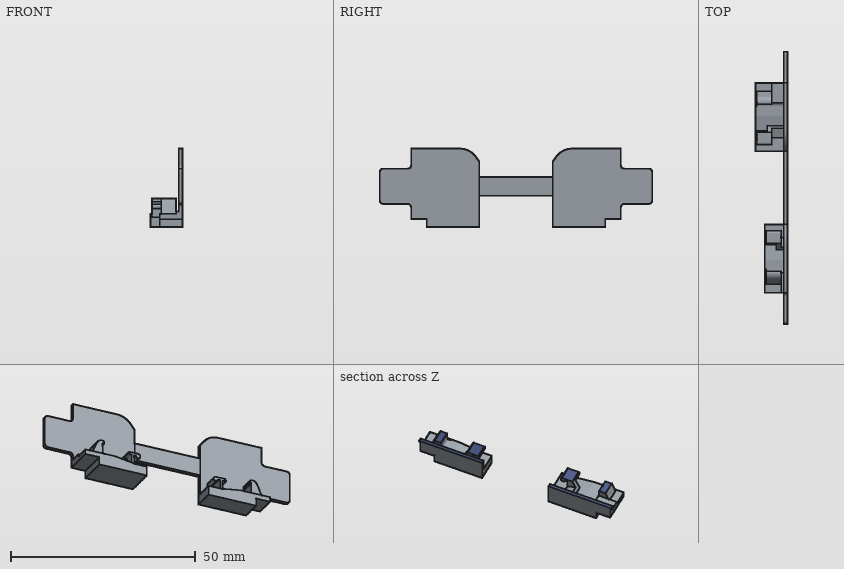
import cadquery as cq
import math

total_length = 73.8
total_height = 21.3
plate_thickness = 1.1

plate_inner_y = 9.9
plate_outer_y = 28.4
tab_end_y = total_length / 2
tab_bottom_z = 6.3
tab_top_z = 15.9
tab_radius = 0.95
shoulder_radius = 5.45
shoulder_start_y = 15.3
shoulder_end_y = 10.85
root_notch_y = 24.2
root_notch_z = 2.2

long_foot_depth = 8.8
short_foot_depth = 6.3
foot_low_z = 2.7
foot_high_z = 3.6
slope_inner_y = 13.6
slope_outer_y = 19.5

clip_inset = 0.45
clip_width = 4.05

hook_root_y = 26.1
hook_top_z = 7.8
hook_back_angle = 68.5
hook_crown_radius = 1.6
hook_crown_y = 23.25
hook_face_y = 23.0
hook_root_fillet = 0.95
lip_tip_y = 22.6
lip_radius = 0.45
lip_bottom_z = 6.95
hook_ledge_z = 4.3

stem_inner_y = slope_inner_y
stem_thickness = 0.7
stem_outer_y = stem_inner_y + stem_thickness
cap_top_z = 6.3
cap_nose_y = 11.65
cap_nose_radius = 0.7
cap_bottom_z = cap_top_z - cap_nose_radius
cap_outer_y = 15.05
gusset_root_y = 16.75
gusset_width = 1.3
stem_fillet = 0.3
post_ledge_outer_z = 4.35
post_ledge_inner_z = 3.55

strip_bottom_z = 8.5
strip_top_z = 13.65

embed = 0.4


def prism(outline, x_start, x_end):
    """Extrude a closed Y-Z outline between two X positions."""
    return outline.extrude(x_end - x_start).translate((x_start, 0, 0))


def outline_from(points):
    return cq.Workplane("YZ").polyline(points).close()


def foot_top_z(y):
    """Height of the foot's upper surface at a given Y."""
    part = (y - slope_inner_y) / (slope_outer_y - slope_inner_y)
    part = min(max(part, 0.0), 1.0)
    return foot_low_z + part * (foot_high_z - foot_low_z)


def upright_plate():
    shoulder_center_z = total_height - shoulder_radius
    shoulder_angle = math.asin((shoulder_start_y - shoulder_end_y) / shoulder_radius)

    def shoulder_point(turn):
        return (
            shoulder_start_y - shoulder_radius * math.sin(turn),
            shoulder_center_z + shoulder_radius * math.cos(turn),
        )

    bevel_drop = (shoulder_end_y - plate_inner_y) * math.tan(shoulder_angle)
    bevel_bottom_z = shoulder_point(shoulder_angle)[1] - bevel_drop
    outline = (
        cq.Workplane("YZ")
        .moveTo(plate_inner_y, 0)
        .lineTo(root_notch_y, 0)
        .lineTo(root_notch_y, root_notch_z)
        .lineTo(plate_outer_y, root_notch_z)
        .lineTo(plate_outer_y, total_height)
        .lineTo(shoulder_start_y, total_height)
        .threePointArc(shoulder_point(shoulder_angle / 2), shoulder_point(shoulder_angle))
        .lineTo(plate_inner_y, bevel_bottom_z)
        .close()
    )
    tab = outline_from([
        (plate_inner_y + tab_radius, tab_bottom_z),
        (tab_end_y, tab_bottom_z),
        (tab_end_y, tab_top_z),
        (plate_inner_y + tab_radius, tab_top_z),
    ])
    plate = prism(outline, -plate_thickness, 0).union(prism(tab, -plate_thickness, 0))
    tab_ends = cq.selectors.BoxSelector(
        (-plate_thickness, plate_outer_y - tab_radius, tab_bottom_z - tab_radius),
        (0, tab_end_y + tab_radius, tab_top_z + tab_radius),
    )
    return plate.edges("|X").edges(tab_ends).fillet(tab_radius)


def foot(depth):
    outline = outline_from([
        (plate_inner_y, 0),
        (root_notch_y, 0),
        (root_notch_y, root_notch_z),
        (plate_outer_y, root_notch_z),
        (plate_outer_y, foot_high_z),
        (slope_outer_y, foot_high_z),
        (slope_inner_y, foot_low_z),
        (plate_inner_y, foot_low_z),
    ])
    return prism(outline, -depth, 0)


def hook_outline():
    angle = math.radians(hook_back_angle)
    crown_center_z = hook_top_z - hook_crown_radius

    def crown_point(turn):
        return (
            hook_crown_y + hook_crown_radius * math.sin(turn),
            crown_center_z + hook_crown_radius * math.cos(turn),
        )

    lip_center_y = lip_tip_y + lip_radius
    lip_center_z = hook_top_z - lip_radius
    lip_diagonal = lip_radius * math.sqrt(0.5)
    fillet_center_y = hook_face_y - hook_root_fillet
    fillet_center_z = foot_high_z + hook_root_fillet
    fillet_diagonal = hook_root_fillet * math.sqrt(0.5)
    return (
        cq.Workplane("YZ")
        .moveTo(hook_root_y, foot_high_z - embed)
        .lineTo(hook_root_y, foot_high_z)
        .lineTo(*crown_point(angle))
        .threePointArc(crown_point(angle / 2), crown_point(0))
        .lineTo(lip_center_y, hook_top_z)
        .threePointArc(
            (lip_center_y - lip_diagonal, lip_center_z + lip_diagonal),
            (lip_tip_y, lip_center_z),
        )
        .lineTo(lip_tip_y, lip_bottom_z)
        .lineTo(hook_face_y, lip_bottom_z)
        .lineTo(hook_face_y, fillet_center_z)
        .threePointArc(
            (fillet_center_y + fillet_diagonal, fillet_center_z - fillet_diagonal),
            (fillet_center_y, foot_high_z),
        )
        .lineTo(fillet_center_y, foot_high_z - embed)
        .close()
    )


def hook(x_front, x_back):
    """Hook, with a low ledge running from it back to the plate."""
    ledge_limits = outline_from([
        (plate_inner_y, 0),
        (plate_outer_y, 0),
        (plate_outer_y, hook_ledge_z),
        (plate_inner_y, hook_ledge_z),
    ])
    ledge_inner_part = prism(hook_outline(), x_back, 0).intersect(prism(ledge_limits, x_back, 0))
    ledge_outer_part = outline_from([
        (hook_face_y, foot_high_z - embed),
        (plate_outer_y, foot_high_z - embed),
        (plate_outer_y, hook_ledge_z),
        (hook_face_y, hook_ledge_z),
    ])
    return (
        prism(hook_outline(), x_front, x_back)
        .union(ledge_inner_part)
        .union(prism(ledge_outer_part, x_back, 0))
    )


def flank_y(z):
    """Y of the gusset's sloping flank at a given height."""
    root_z = foot_top_z(gusset_root_y)
    part = (z - root_z) / (cap_top_z - root_z)
    return gusset_root_y + part * (cap_outer_y - gusset_root_y)


def stem_and_cap(x_front, x_back):
    nose_center_y = cap_nose_y + cap_nose_radius
    nose_center_z = cap_top_z - cap_nose_radius
    nose_diagonal = cap_nose_radius * math.sqrt(0.5)
    root_y = stem_outer_y + stem_fillet
    root_z = foot_top_z(root_y)
    corner = stem_fillet * (1 - math.sqrt(0.5))
    outline = (
        cq.Workplane("YZ")
        .moveTo(stem_inner_y, foot_low_z - embed)
        .lineTo(root_y, foot_low_z - embed)
        .lineTo(root_y, root_z)
        .threePointArc((stem_outer_y + corner, root_z + corner), (stem_outer_y, root_z + stem_fillet))
        .lineTo(stem_outer_y, cap_bottom_z - stem_fillet)
        .threePointArc(
            (stem_outer_y + corner, cap_bottom_z - corner),
            (stem_outer_y + stem_fillet, cap_bottom_z),
        )
        .lineTo(flank_y(cap_bottom_z), cap_bottom_z)
        .lineTo(cap_outer_y, cap_top_z)
        .lineTo(nose_center_y, cap_top_z)
        .threePointArc(
            (nose_center_y - nose_diagonal, nose_center_z + nose_diagonal),
            (cap_nose_y, nose_center_z),
        )
        .threePointArc(
            (nose_center_y, nose_center_z - cap_nose_radius),
            (nose_center_y + cap_nose_radius, nose_center_z),
        )
        .lineTo(stem_inner_y - stem_fillet, cap_bottom_z)
        .threePointArc(
            (stem_inner_y - corner, cap_bottom_z - corner),
            (stem_inner_y, cap_bottom_z - stem_fillet),
        )
        .close()
    )
    return prism(outline, x_front, x_back)


def gusset(x_back):
    gusset_root_z = foot_top_z(gusset_root_y)
    outline = outline_from([
        (stem_inner_y, foot_low_z - embed),
        (gusset_root_y, foot_low_z - embed),
        (gusset_root_y, gusset_root_z),
        (cap_outer_y, cap_top_z),
        (stem_inner_y, cap_top_z),
    ])
    return prism(outline, x_back - gusset_width, x_back)


def post_ledge(x_back):
    """Low ramp that carries the gusset's foot back to the plate."""
    outline = outline_from([
        (stem_inner_y, foot_low_z - embed),
        (gusset_root_y, foot_low_z - embed),
        (gusset_root_y, foot_top_z(gusset_root_y)),
        (flank_y(post_ledge_outer_z), post_ledge_outer_z),
        (stem_inner_y, post_ledge_inner_z),
    ])
    return prism(outline, x_back, 0)


def end_bracket(foot_depth):
    """Bracket at the +Y end, with the given foot depth along X."""
    clip_front = -foot_depth + clip_inset
    clip_back = clip_front + clip_width
    return (
        upright_plate()
        .union(foot(foot_depth))
        .union(hook(clip_front, clip_back))
        .union(stem_and_cap(clip_front, clip_back))
        .union(gusset(clip_back))
        .union(post_ledge(clip_back))
    )


def connecting_strip():
    outline = outline_from([
        (-plate_inner_y, strip_bottom_z),
        (plate_inner_y, strip_bottom_z),
        (plate_inner_y, strip_top_z),
        (-plate_inner_y, strip_top_z),
    ])
    return prism(outline, -plate_thickness, 0)


long_bracket = end_bracket(long_foot_depth)
short_bracket = end_bracket(short_foot_depth).mirror("XZ")
strip = connecting_strip()

result = cq.Compound.makeCompound([long_bracket.val(), short_bracket.val(), strip.val()])